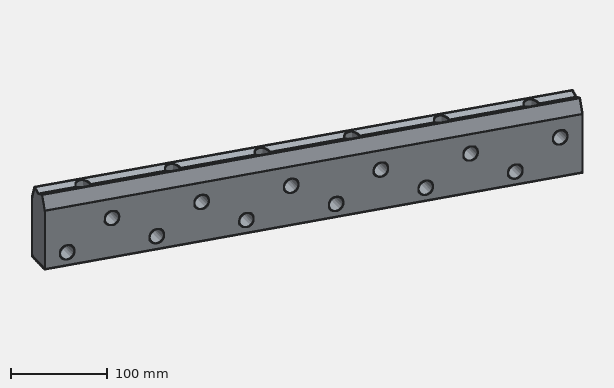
import cadquery as cq

length = 600.0
width = 35.0
height = 82.0

shoulder_height = 15.0
shoulder_width = 7.0
groove_depth = 3.2

hole_diameter = 16.0
holes_per_row = 6
hole_pitch = length / holes_per_row
lower_row_height = 15.0
upper_row_height = 45.0

half_width = width / 2
shoulder_base = height - shoulder_height
lip_x = half_width - shoulder_width


def make_bar():
    """Extrude the end profile along Y, centred on the origin in X and Y."""
    return (
        cq.Workplane("XZ")
        .moveTo(-half_width, 0)
        .lineTo(half_width, 0)
        .lineTo(half_width, shoulder_base)
        .lineTo(lip_x, height)
        .lineTo(0, height - groove_depth)
        .lineTo(-lip_x, height)
        .lineTo(-half_width, shoulder_base)
        .close()
        .extrude(length / 2, both=True)
    )


def row_positions(end_distance):
    """Y positions of a row whose first hole is end_distance from the +Y end."""
    return [length / 2 - end_distance - i * hole_pitch for i in range(holes_per_row)]


def vertical_holes():
    centres = [(0, y) for y in row_positions(hole_pitch / 2)]
    return cq.Workplane("XY").pushPoints(centres).circle(hole_diameter / 2).extrude(height)


def cross_holes(end_distance, row_height):
    centres = [(y, row_height) for y in row_positions(end_distance)]
    return (
        cq.Workplane("YZ")
        .pushPoints(centres)
        .circle(hole_diameter / 2)
        .extrude(half_width, both=True)
    )


result = (
    make_bar()
    .cut(vertical_holes())
    .cut(cross_holes(hole_pitch / 4, upper_row_height))
    .cut(cross_holes(hole_pitch * 3 / 4, lower_row_height))
)